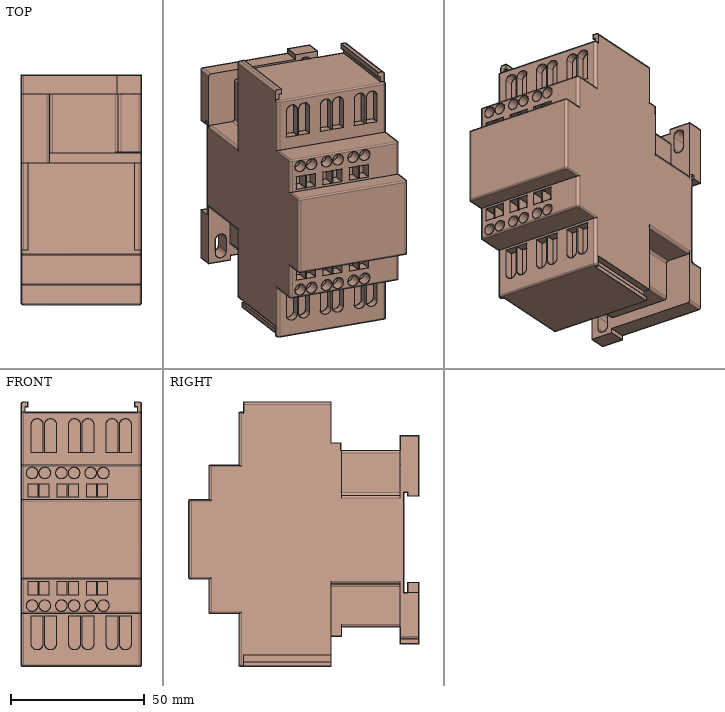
import cadquery as cq


width = 45.0
depth = 86.0
total_height = 98.9

body_height = 95.0
back_mid = 47.35
center_height = 29.7
control_height = 55.5

control_front = 7.5
power_front = 18.7
flange_back = 20.5
body_back = 53.2
plate_front = 79.0

side_round = 1.0
edge_round = 0.55

lip_wall = 1.5
lip_reach = 2.5
lip_hook_height = 1.9
notch_height = 4.2
notch_step = 1.7

neck_height = 33.1
rib_outer = 13.8
rib_inner = 11.8
upper_rib_top = 80.7
lower_rib_bottom = 14.65
shoulder_back = 56.9
shoulder_step = 0.25
shoulder_span = 72.3

plate_height = 77.9
plate_step = 1.8
tab_edge = 13.4
rail_depth = 5.6
rail_bottom = 27.6
rail_top = 65.0
catch_thickness = 4.2
upper_catch_drop = 1.4
lower_catch_rise = 3.8
lower_catch_width = 38.0
fixing_x = 17.5
fixing_drop = 6.35
fixing_width = 4.5
fixing_length = 9.5

power_depth = 3.4
control_depth = 5.0
power_pair_pitch = 14.0
power_pitch = 5.0
power_width = 4.45
power_length = 12.6
power_arch = 1.9
upper_power_bottom = 80.0
lower_power_top = 18.8
control_pair_pitch = 10.95
control_pair_start = -16.0
screw_pitch = 4.75
screw_diameter = 4.3
screw_offset = 24.8
wire_pitch = 4.2
wire_width = 3.75
wire_height = 5.0
wire_offset = 18.25

half_width = width / 2
front_mid = body_height / 2
plate_top = back_mid + plate_height / 2
rail_front = depth - rail_depth


def block(x_range, y_range, z_range):
    """Box between the given limits along X, Y and Z."""
    size = [limits[1] - limits[0] for limits in (x_range, y_range, z_range)]
    corner = (x_range[0], y_range[0], z_range[0])
    return cq.Workplane("XY").box(*size, centered=False).translate(corner)


def half_turn(shape):
    """Turn a shape half a revolution about the front-to-back axis of the neck and plate."""
    return shape.rotate((0, 0, back_mid), (0, 1, back_mid), 180)


def front_block(front, back, bottom, top):
    """Full-width block with rounded upright front corners and softened top and bottom edges."""
    solid = block((-half_width, half_width), (front, back), (bottom, top))
    solid = solid.edges("|Z and <Y").fillet(side_round)
    return solid.edges("(not |Z) and (not >Y)").fillet(edge_round)


def mid_block(front, back, height):
    """Front block centred on the height of the body."""
    return front_block(front, back, front_mid - height / 2, front_mid + height / 2)


def make_body():
    """Square-edged body with three rounded blocks stepping out to the front face."""
    body = block((-half_width, half_width), (flange_back, body_back), (0, body_height))
    body = body.union(front_block(power_front, flange_back, 0, body_height))
    body = body.union(mid_block(control_front, power_front + side_round, control_height))
    return body.union(mid_block(0, control_front + side_round, center_height))


def make_lip():
    """Snap lip on the -X side: an upright wall with a hook pointing inwards."""
    y_range = (flange_back, body_back)
    wall = block((-half_width, -half_width + lip_wall), y_range, (body_height, total_height))
    hook = block(
        (-half_width, -half_width + lip_reach),
        y_range,
        (total_height - lip_hook_height, total_height),
    )
    return wall.union(hook).edges("|Y and >Z and <X").fillet(side_round)


def make_notch():
    """Space on the -X side that receives the lip of a neighbour below."""
    y_range = (flange_back, body_back)
    mouth = block((-half_width, -half_width + lip_wall), y_range, (0, notch_height))
    undercut = block((-half_width, -half_width + lip_reach), y_range, (notch_step, notch_height))
    return mouth.union(undercut)


def make_neck():
    """Neck with a rib above and below, blended along its length."""
    neck_top = back_mid + neck_height / 2
    neck_bottom = back_mid - neck_height / 2
    outline = (
        cq.Workplane("XZ", origin=(0, body_back, 0))
        .moveTo(-half_width, neck_bottom)
        .lineTo(-rib_outer, neck_bottom)
        .lineTo(-rib_outer, lower_rib_bottom)
        .lineTo(rib_inner, lower_rib_bottom)
        .lineTo(rib_inner, neck_bottom)
        .lineTo(half_width, neck_bottom)
        .lineTo(half_width, neck_top)
        .lineTo(rib_outer, neck_top)
        .lineTo(rib_outer, upper_rib_top)
        .lineTo(-rib_inner, upper_rib_top)
        .lineTo(-rib_inner, neck_top)
        .lineTo(-half_width, neck_top)
        .close()
    )
    return outline.extrude(body_back - plate_front).edges("|Y").fillet(side_round)


def make_shoulders():
    """Ledges where the ribs meet the body, with a low pad beside the upper rib."""
    thin = (body_back, shoulder_back)
    thick = (body_back, shoulder_back + shoulder_step)
    upper_heights = (back_mid, back_mid + shoulder_span / 2)
    lower_heights = (back_mid - shoulder_span / 2, back_mid)
    upper = block((-rib_inner, half_width), thin, upper_heights)
    pad = block((rib_outer - side_round, half_width), thick, (back_mid, upper_rib_top))
    lower = block((-rib_outer, rib_inner), thick, lower_heights)
    return upper.union(pad).union(lower)


def make_plate_half():
    """Upper half of the mounting plate, with a tall tab on the +X side."""
    y_range = (plate_front, depth)
    bar = block((-half_width, half_width), y_range, (back_mid, plate_top - plate_step))
    bar = bar.edges("|Y and <X and >Z").fillet(side_round)
    tab = block((tab_edge, half_width), y_range, (back_mid, plate_top))
    slot = (
        cq.Workplane("XZ", origin=(fixing_x, plate_front, plate_top - fixing_drop))
        .slot2D(fixing_length, fixing_width, 90)
        .extrude(plate_front - depth)
    )
    return bar.union(tab).cut(slot)


def make_plate():
    """Mounting plate with the rail seat and its two catches."""
    upper = make_plate_half()
    plate = upper.union(half_turn(upper))
    rail_seat = block((-half_width, half_width), (rail_front, depth), (rail_bottom, rail_top))
    catch_front = depth - catch_thickness
    upper_catch = block(
        (-half_width, half_width),
        (catch_front, depth),
        (rail_top - upper_catch_drop, rail_top),
    )
    lower_catch = block(
        (-lower_catch_width / 2, lower_catch_width / 2),
        (catch_front, depth),
        (rail_bottom, rail_bottom + lower_catch_rise),
    )
    return plate.cut(rail_seat).union(upper_catch).union(lower_catch)


def make_power_openings():
    """Three pairs of arched slots above and below the control terminals."""
    openings = cq.Workplane("XZ", origin=(0, power_front, 0))
    half_slot = power_width / 2
    for pair in (-1, 0, 1):
        for side in (-0.5, 0.5):
            x = pair * power_pair_pitch + side * power_pitch
            for flat, direction in ((upper_power_bottom, 1), (lower_power_top, -1)):
                arch_start = flat + direction * (power_length - power_arch)
                openings = (
                    openings.moveTo(x - half_slot, flat)
                    .lineTo(x + half_slot, flat)
                    .lineTo(x + half_slot, arch_start)
                    .threePointArc((x, flat + direction * power_length), (x - half_slot, arch_start))
                    .close()
                )
    return openings.extrude(-power_depth)


def make_control_openings():
    """Three pairs of screw holes and wire entries above and below the front panel."""
    screws = []
    wires = []
    for pair in range(3):
        pair_x = control_pair_start + pair * control_pair_pitch
        for side in (-0.5, 0.5):
            for direction in (-1, 1):
                screws.append((pair_x + side * screw_pitch, direction * screw_offset))
                wires.append((pair_x + side * wire_pitch, direction * wire_offset))
    plane = cq.Workplane("XZ", origin=(0, control_front, front_mid))
    holes = plane.pushPoints(screws).circle(screw_diameter / 2).extrude(-control_depth)
    entries = plane.pushPoints(wires).rect(wire_width, wire_height).extrude(-control_depth)
    return holes.union(entries)


body = make_body()
lip = make_lip()
notch = make_notch()
body = body.union(lip).union(lip.mirror("YZ"))
body = body.cut(notch).cut(notch.mirror("YZ"))
body = body.cut(make_power_openings()).cut(make_control_openings())

result = body.union(make_neck()).union(make_shoulders()).union(make_plate())